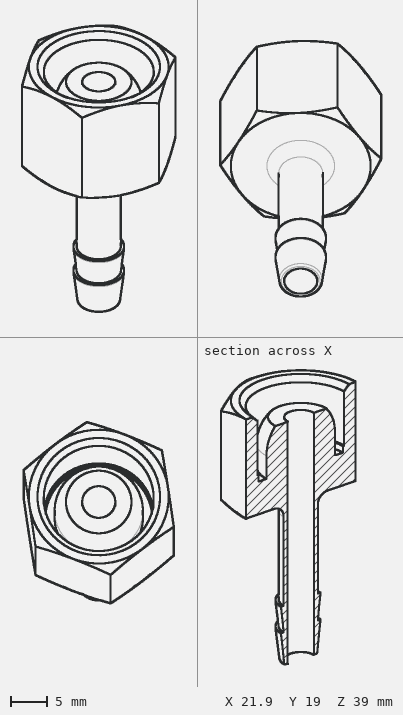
import cadquery as cq
import math

across_flats = 19.0
head_height = 15.0
stem_length = 24.0
corner_chamfer_angle = 30.0
total_height = stem_length + head_height
across_corners = across_flats / math.cos(math.radians(30.0))

thread_major_diameter = 16.65
thread_core_diameter = 14.95
socket_floor_diameter = 14.5
thread_depth = 9.0
socket_depth = 10.0

nose_diameter = 12.0
nose_face_diameter = 8.9
nose_face_depth = 2.5

bore_diameter = 4.5
stem_diameter = 6.0
root_fillet = 1.6
barb_diameter = 6.9
barb_land = 0.25
barb_top_levels = (5.0, 9.0)
barb_tip_diameter = 5.8
tip_fillet = 0.3


def revolve_profile(profile):
    """Turn a closed radius-height profile around the Z axis."""
    return profile.close().revolve(360.0, (0, 0, 0), (0, 1, 0))


def make_head():
    """Hexagonal prism whose corners are bevelled at both ends by cones."""
    head = (
        cq.Workplane("XY")
        .workplane(offset=stem_length)
        .polygon(6, across_corners)
        .extrude(head_height)
    )
    flat_radius = across_flats / 2
    corner_radius = across_corners / 2
    bevel_drop = (corner_radius - flat_radius) * math.tan(math.radians(corner_chamfer_angle))
    envelope = revolve_profile(
        cq.Workplane("XZ")
        .moveTo(0, stem_length)
        .lineTo(flat_radius, stem_length)
        .lineTo(corner_radius, stem_length + bevel_drop)
        .lineTo(corner_radius, total_height - bevel_drop)
        .lineTo(flat_radius, total_height)
        .lineTo(0, total_height)
    )
    return head.intersect(envelope)


def make_socket():
    """Socket void: 45 degree lead-in, thread core bore and narrower floor step."""
    mouth_radius = thread_major_diameter / 2
    core_radius = thread_core_diameter / 2
    floor_radius = socket_floor_diameter / 2
    lead_in = mouth_radius - core_radius
    step_level = total_height - thread_depth
    floor_level = total_height - socket_depth
    return revolve_profile(
        cq.Workplane("XZ")
        .moveTo(0, total_height)
        .lineTo(mouth_radius, total_height)
        .lineTo(core_radius, total_height - lead_in)
        .lineTo(core_radius, step_level)
        .lineTo(floor_radius, step_level)
        .lineTo(floor_radius, floor_level)
        .lineTo(0, floor_level)
    )


def make_nose():
    """Cylinder rising from the socket floor into a sphere cut off by a flat face."""
    radius = nose_diameter / 2
    face_radius = nose_face_diameter / 2
    face_level = total_height - nose_face_depth
    center_level = face_level - math.sqrt(radius**2 - face_radius**2)
    arc_angle = math.asin(face_radius / radius) / 2 + math.pi / 4
    arc_middle = (radius * math.sin(arc_angle), center_level + radius * math.cos(arc_angle))
    return revolve_profile(
        cq.Workplane("XZ")
        .moveTo(0, total_height - socket_depth)
        .lineTo(radius, total_height - socket_depth)
        .lineTo(radius, center_level)
        .threePointArc(arc_middle, (face_radius, face_level))
        .lineTo(0, face_level)
    )


def make_stem():
    """Plain stem that flares into the underside of the head."""
    radius = stem_diameter / 2
    flare_radius = radius + root_fillet
    flare_start = stem_length - root_fillet
    arc_middle = (
        flare_radius - root_fillet * math.cos(math.pi / 4),
        flare_start + root_fillet * math.sin(math.pi / 4),
    )
    barb_bottom = barb_top_levels[0] - barb_land
    return revolve_profile(
        cq.Workplane("XZ")
        .moveTo(0, barb_bottom)
        .lineTo(radius, barb_bottom)
        .lineTo(radius, flare_start)
        .threePointArc(arc_middle, (flare_radius, stem_length))
        .lineTo(0, stem_length)
    )


def make_barb(top_level, bottom_level):
    """Barb tapering downward from a short cylindrical land."""
    land_radius = barb_diameter / 2
    taper = (barb_diameter - barb_tip_diameter) / 2 / (barb_top_levels[0] - barb_land)
    land_bottom = top_level - barb_land
    bottom_radius = land_radius - taper * (land_bottom - bottom_level)
    return revolve_profile(
        cq.Workplane("XZ")
        .moveTo(0, bottom_level)
        .lineTo(bottom_radius, bottom_level)
        .lineTo(land_radius, land_bottom)
        .lineTo(land_radius, top_level)
        .lineTo(0, top_level)
    )


def make_barbs():
    """Stack of barbs, with the edge of the lowest one rounded at the tip."""
    barbs = make_barb(barb_top_levels[0], 0).faces("<Z").edges().fillet(tip_fillet)
    for lower_level, upper_level in zip(barb_top_levels, barb_top_levels[1:]):
        barbs = barbs.union(make_barb(upper_level, lower_level))
    return barbs


body = make_head().cut(make_socket()).union(make_nose())
body = body.union(make_stem()).union(make_barbs())
bore = cq.Workplane("XY").circle(bore_diameter / 2).extrude(total_height)
result = body.cut(bore)